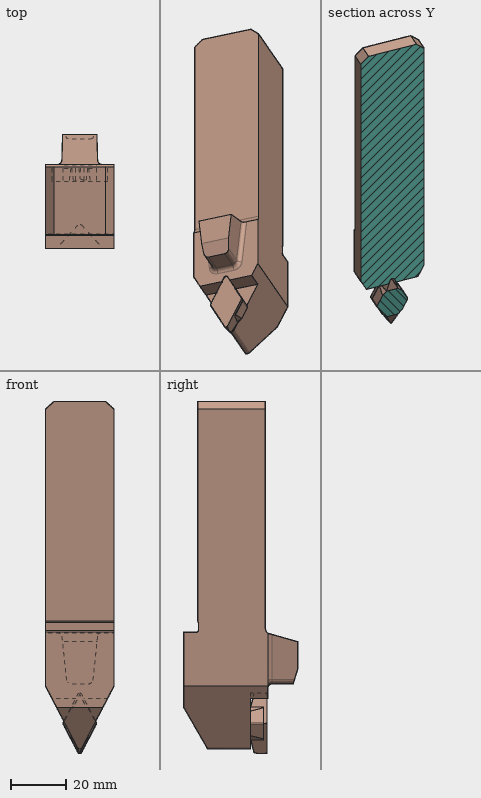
import cadquery as cq
import math

SHANK_WIDTH = 25.0
SHANK_HALF = SHANK_WIDTH / 2
SHANK_BACK_Y = 12.2
TOP_Z = 128.0
TOP_CHAMFER_X = 3.1
TOP_CHAMFER_Z = 2.8

HEAD_FRONT_Y = -17.5
HEAD_BACK_Y = 13.0
SHOULDER_Z = 44.2
BACK_STEP_Z = 43.8
BACK_STEP_RADIUS = 2.5

GROOVE_TOP_Z = 48.1
GROOVE_DEPTH = 0.3
GROOVE_TOP_RAMP = 0.5
GROOVE_BOTTOM_CHAMFER = 0.5

POINT_HALF_ANGLE = math.radians(27.5)
POINT_START_Z = 24.6
POINT_TIP_Z = POINT_START_Z - SHANK_HALF / math.tan(POINT_HALF_ANGLE)
POINT_TIP_RADIUS = 0.9
FRONT_RELIEF_Z = 16.8
FRONT_RELIEF_ANGLE = math.radians(30)

LUG_WIDTH = 13.2
LUG_END_Y = 24.0
LUG_BOTTOM_Z = 25.3
LUG_TOP_Z = BACK_STEP_Z
LUG_SIDE_ANGLE = math.radians(6)
LUG_END_TOP_Z = 40.7
LUG_END_BOTTOM_Z = 30.7
LUG_BOTTOM_Y = 22.3
LUG_CORNER_DIAMETER = 3.5
LUG_ROOT_RADIUS = 1.5
SELECT_MARGIN = 0.1

SEAT_Y = 6.8
SEAT_TOP_Z = 20.0
INSERT_FACE_Y = 12.8
INSERT_DEPTH = INSERT_FACE_Y - SEAT_Y
INSERT_NOSE_RADIUS = 0.8
INSERT_CLEARANCE = 7.0
PAD_END_CLEARANCE = 5.5
INSERT_HALF_LENGTH = 11.9
NOSE_SETBACK = INSERT_NOSE_RADIUS * (1 / math.sin(POINT_HALF_ANGLE) - 1)
INSERT_CENTRE_Z = INSERT_HALF_LENGTH - NOSE_SETBACK
PAD_HALF_LENGTH = 6.0
PAD_TOP_DROP = 1.3
PAD_END_HALF_ANGLE = math.radians(47)
BACK_BEVEL_DROP = 1.5


def side_prism(points, half_width):
    """Extrude an outline of (Y, Z) points symmetrically along X."""
    return cq.Workplane("YZ").polyline(points).close().extrude(half_width, both=True)


def shank_and_head_blank():
    groove_y = -SHANK_HALF + GROOVE_DEPTH
    relief_run = FRONT_RELIEF_Z - POINT_TIP_Z
    outline = (
        cq.Workplane("YZ")
        .moveTo(-SHANK_HALF, TOP_Z)
        .lineTo(-SHANK_HALF, GROOVE_TOP_Z)
        .lineTo(groove_y, GROOVE_TOP_Z - GROOVE_TOP_RAMP)
        .lineTo(groove_y, SHOULDER_Z + GROOVE_BOTTOM_CHAMFER)
        .lineTo(groove_y - GROOVE_BOTTOM_CHAMFER, SHOULDER_Z)
        .lineTo(HEAD_FRONT_Y, SHOULDER_Z)
        .lineTo(HEAD_FRONT_Y, FRONT_RELIEF_Z)
        .lineTo(HEAD_FRONT_Y + relief_run * math.tan(FRONT_RELIEF_ANGLE), POINT_TIP_Z)
        .lineTo(HEAD_BACK_Y, POINT_TIP_Z)
        .lineTo(HEAD_BACK_Y, BACK_STEP_Z)
    )

    step_ratio = 1 - (HEAD_BACK_Y - SHANK_BACK_Y) / BACK_STEP_RADIUS
    arc_angle = math.acos(step_ratio)
    arc_centre_y = SHANK_BACK_Y + BACK_STEP_RADIUS
    arc_top_z = BACK_STEP_Z + BACK_STEP_RADIUS * math.sin(arc_angle)
    arc_middle = (
        arc_centre_y - BACK_STEP_RADIUS * math.cos(arc_angle / 2),
        arc_top_z - BACK_STEP_RADIUS * math.sin(arc_angle / 2),
    )
    outline = outline.threePointArc(arc_middle, (SHANK_BACK_Y, arc_top_z)).lineTo(SHANK_BACK_Y, TOP_Z)
    return outline.close().extrude(SHANK_HALF, both=True)


def front_outline():
    """Outline along Y: chamfered top corners and a pointed bottom with a rounded tip."""
    points = [
        (0, POINT_TIP_Z),
        (SHANK_HALF, POINT_START_Z),
        (SHANK_HALF, TOP_Z - TOP_CHAMFER_Z),
        (SHANK_HALF - TOP_CHAMFER_X, TOP_Z),
        (-SHANK_HALF + TOP_CHAMFER_X, TOP_Z),
        (-SHANK_HALF, TOP_Z - TOP_CHAMFER_Z),
        (-SHANK_HALF, POINT_START_Z),
    ]
    outline = cq.Workplane("XZ").polyline(points).close().extrude(SHANK_WIDTH, both=True)
    return outline.edges("|Y and <Z").fillet(POINT_TIP_RADIUS)


def lug():
    """Lug with rounded lower corners, flared at its root into a plate inside the head."""
    blank_top_z = LUG_TOP_Z + LUG_WIDTH
    blank_top_half = LUG_WIDTH / 2 + LUG_WIDTH * math.tan(LUG_SIDE_ANGLE)
    bottom_half = LUG_WIDTH / 2 - (LUG_TOP_Z - LUG_BOTTOM_Z) * math.tan(LUG_SIDE_ANGLE)
    bar_corners = [
        (-bottom_half, LUG_BOTTOM_Z),
        (bottom_half, LUG_BOTTOM_Z),
        (blank_top_half, blank_top_z),
        (-blank_top_half, blank_top_z),
    ]
    back_of_head = cq.Workplane("XZ", origin=(0, HEAD_BACK_Y, 0))
    bar = back_of_head.polyline(bar_corners).close().extrude(HEAD_BACK_Y - LUG_END_Y)
    bar = bar.edges("|Y and <Z").fillet(LUG_CORNER_DIAMETER / 2)
    plate = back_of_head.center(0, blank_top_z / 2).rect(SHANK_WIDTH, blank_top_z)
    plate = plate.extrude(HEAD_BACK_Y - SEAT_Y)
    root_edges = cq.selectors.BoxSelector(
        (-blank_top_half, HEAD_BACK_Y - SELECT_MARGIN, LUG_BOTTOM_Z - SELECT_MARGIN),
        (blank_top_half, HEAD_BACK_Y + SELECT_MARGIN, blank_top_z - SELECT_MARGIN),
    )
    blank = plate.union(bar).edges(root_edges).fillet(LUG_ROOT_RADIUS)

    flare_end_y = HEAD_BACK_Y + LUG_ROOT_RADIUS
    flare_bottom_z = LUG_BOTTOM_Z - LUG_ROOT_RADIUS
    profile = [
        (SEAT_Y, flare_bottom_z),
        (flare_end_y, flare_bottom_z),
        (flare_end_y, LUG_BOTTOM_Z),
        (LUG_BOTTOM_Y, LUG_BOTTOM_Z),
        (LUG_END_Y, LUG_END_BOTTOM_Z),
        (LUG_END_Y, LUG_END_TOP_Z),
        (HEAD_BACK_Y, LUG_TOP_Z),
        (SEAT_Y, LUG_TOP_Z),
    ]
    return blank.intersect(side_prism(profile, LUG_WIDTH / 2 + LUG_ROOT_RADIUS))


def rhombus(half_length, half_angle, depth, clearance=None):
    """Rhombus in XZ, its tips on the Z axis, extruded from the insert face towards -Y."""
    half_width = half_length * math.tan(half_angle)
    plane = cq.Workplane("XZ", origin=(0, INSERT_FACE_Y, INSERT_CENTRE_Z))
    corners = [(0, half_length), (half_width, 0), (0, -half_length), (-half_width, 0)]
    return plane.polyline(corners).close().extrude(depth, taper=clearance)


def insert_outline():
    blank = rhombus(INSERT_HALF_LENGTH, POINT_HALF_ANGLE, INSERT_DEPTH)
    return blank.edges("|Y").fillet(INSERT_NOSE_RADIUS)


def insert_back_profile():
    """Profile along X: flat seating land in the middle, bevelled away towards both tips."""
    z = INSERT_CENTRE_Z
    profile = [
        (SEAT_Y, z - PAD_HALF_LENGTH),
        (SEAT_Y, z + PAD_HALF_LENGTH),
        (SEAT_Y + BACK_BEVEL_DROP, z + INSERT_HALF_LENGTH),
        (INSERT_FACE_Y, z + INSERT_HALF_LENGTH),
        (INSERT_FACE_Y, z - INSERT_HALF_LENGTH),
        (SEAT_Y + BACK_BEVEL_DROP, z - INSERT_HALF_LENGTH),
    ]
    return side_prism(profile, SHANK_HALF)


def make_insert():
    outline = insert_outline()
    plate = rhombus(INSERT_HALF_LENGTH, POINT_HALF_ANGLE, INSERT_DEPTH, INSERT_CLEARANCE)
    plate = plate.intersect(outline)

    foot_half_width = (INSERT_HALF_LENGTH - PAD_HALF_LENGTH) * math.tan(POINT_HALF_ANGLE)
    pad_end_length = PAD_HALF_LENGTH + foot_half_width / math.tan(PAD_END_HALF_ANGLE)
    pad = rhombus(pad_end_length, PAD_END_HALF_ANGLE, INSERT_DEPTH, PAD_END_CLEARANCE)
    face_layer = cq.Workplane("XY").box(SHANK_WIDTH, 2 * PAD_TOP_DROP, SHANK_WIDTH)
    face_layer = face_layer.translate((0, INSERT_FACE_Y, INSERT_CENTRE_Z))
    pad = pad.intersect(outline).cut(face_layer)

    return plate.union(pad).intersect(insert_back_profile())


def insert_seat():
    """Open step below the seat top, with a notch above it for the hidden end of the insert."""
    opening = cq.Workplane("XY").box(
        SHANK_WIDTH, HEAD_BACK_Y - SEAT_Y, SEAT_TOP_Z, centered=(True, False, False)
    )
    opening = opening.translate((0, SEAT_Y, 0))
    notch = insert_outline().translate((0, HEAD_BACK_Y - INSERT_FACE_Y, 0))
    return opening.union(notch).union(insert_outline())


def make_holder():
    body = shank_and_head_blank().intersect(front_outline()).union(lug())
    return body.cut(insert_seat())


holder = make_holder()
insert = make_insert()
result = cq.Compound.makeCompound([holder.val(), insert.val()])